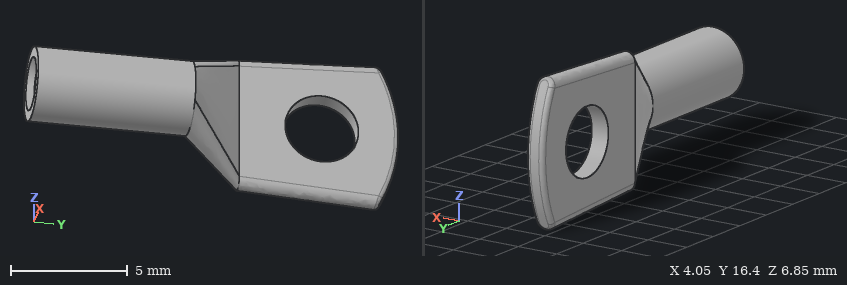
import cadquery as cq
import math

length = 16.37
width = 4.05
tip_height = 6.85

barrel_diameter = 3.24
barrel_length = 6.88
bore_diameter = 1.7
bore_depth = 6.22
bore_mouth_diameter = 2.3
drill_point_angle = 118.0

seam_angle = 30.0

palm_start = 9.4
palm_thickness = 0.87
palm_base_height = 6.24
palm_corner_y = 15.37
tip_radius = 7.04
tip_fillet = 0.21
hole_diameter = 3.2
hole_y = 13.0

barrel_radius = barrel_diameter / 2
palm_left = barrel_radius - width
palm_center_x = palm_left + palm_thickness / 2
palm_taper = (tip_height - palm_base_height) / (palm_corner_y - palm_start)
palm_end_height = palm_base_height + palm_taper * (length - palm_start)


def section_wire(y, center_x, corner_x, corner_z, side_bulge, cap_bulge):
    """Closed section of two side arcs or lines and two cap arcs.

    A bulge is the distance from the section center to an arc's midpoint.
    A side bulge equal to corner_x makes the sides straight.
    """
    def point(x, z):
        return cq.Vector(center_x + x, y, z)

    def side(sign):
        start = point(sign * corner_x, -sign * corner_z)
        end = point(sign * corner_x, sign * corner_z)
        if side_bulge == corner_x:
            return cq.Edge.makeLine(start, end)
        return cq.Edge.makeThreePointArc(start, point(sign * side_bulge, 0), end)

    def cap(sign):
        start = point(sign * corner_x, sign * corner_z)
        end = point(-sign * corner_x, sign * corner_z)
        return cq.Edge.makeThreePointArc(start, point(0, sign * cap_bulge), end)

    return cq.Wire.assembleEdges([side(1), cap(1), side(-1), cap(-1)])


def palm_section(y, height):
    half_thickness = palm_thickness / 2
    corner_z = height / 2 - half_thickness
    return section_wire(y, palm_center_x, half_thickness, corner_z, half_thickness, height / 2)


def barrel_section(y):
    angle = math.radians(seam_angle)
    corner_x = barrel_radius * math.cos(angle)
    corner_z = barrel_radius * math.sin(angle)
    return section_wire(y, 0, corner_x, corner_z, barrel_radius, barrel_radius)


def ruled_loft(start, end):
    return cq.Workplane(obj=cq.Solid.makeLoft([start, end], True))


def make_palm():
    blank = ruled_loft(
        palm_section(palm_start, palm_base_height),
        palm_section(length, palm_end_height),
    )
    tip_disc = (
        cq.Workplane("YZ", origin=(palm_left, 0, 0))
        .center(length - tip_radius, 0)
        .circle(tip_radius)
        .extrude(palm_thickness)
    )
    hole = (
        cq.Workplane("YZ", origin=(palm_left, 0, 0))
        .center(hole_y, 0)
        .circle(hole_diameter / 2)
        .extrude(palm_thickness)
    )
    palm = blank.intersect(tip_disc)
    palm = palm.faces("%CYLINDER").faces(">Y").edges().fillet(tip_fillet)
    return palm.cut(hole)


def make_bore():
    bore_radius = bore_diameter / 2
    mouth_radius = bore_mouth_diameter / 2
    countersink_depth = mouth_radius - bore_radius
    point_depth = bore_radius / math.tan(math.radians(drill_point_angle / 2))
    return (
        cq.Workplane("XY")
        .polyline([
            (0, 0),
            (mouth_radius, 0),
            (bore_radius, countersink_depth),
            (bore_radius, bore_depth),
            (0, bore_depth + point_depth),
        ])
        .close()
        .revolve(360, (0, 0, 0), (0, 1, 0))
    )


barrel = cq.Workplane("XZ").circle(barrel_radius).extrude(-barrel_length)
transition = ruled_loft(barrel_section(barrel_length), palm_section(palm_start, palm_base_height))
result = barrel.union(transition).union(make_palm()).cut(make_bore())